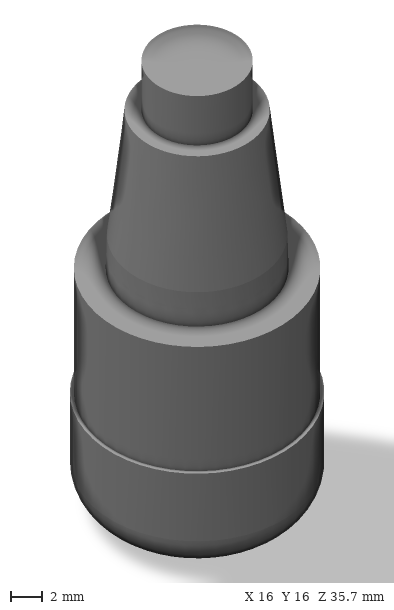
import cadquery as cq

total_height = 35.7
boot_top = 31.65
cone_base = 21.45
barrel_top = 18.7
collar_top = 8.55

cable_radius = 3.5
cone_top_radius = 4.57
cone_base_radius = 5.68
boot_base_radius = 5.75
barrel_radius = 7.75
collar_radius = 8.0
bottom_fillet = 3.0


def make_housing():
    """Turned connector shell: rounded collar, barrel and tapered strain-relief boot."""
    profile = (
        cq.Workplane("XZ")
        .lineTo(collar_radius - bottom_fillet, 0)
        .radiusArc((collar_radius, bottom_fillet), -bottom_fillet)
        .lineTo(collar_radius, collar_top)
        .lineTo(barrel_radius, collar_top)
        .lineTo(barrel_radius, barrel_top)
        .lineTo(boot_base_radius, barrel_top)
        .lineTo(cone_base_radius, cone_base)
        .lineTo(cone_top_radius, boot_top)
        .lineTo(0, boot_top)
        .close()
    )
    return profile.revolve(360, (0, 0, 0), (0, 1, 0))


def make_cable():
    """Cable stub standing on the end face of the boot."""
    return (
        cq.Workplane("XY")
        .workplane(offset=boot_top)
        .circle(cable_radius)
        .extrude(total_height - boot_top)
    )


housing = make_housing()
cable = make_cable()

result = cq.Compound.makeCompound([housing.val(), cable.val()])